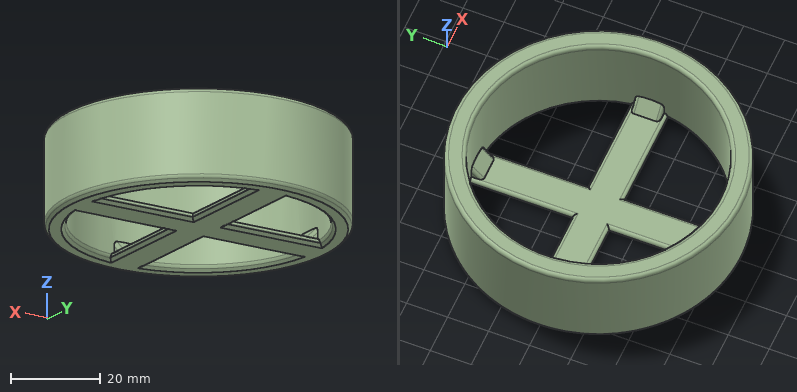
import cadquery as cq

outer_diameter = 69.5
inner_diameter = 59.5
height = 22.0
edge_round = 1.0
bottom_chamfer = 1.1
bottom_blend = 1.2

spoke_width = 8.9
spoke_thickness = 2.0
spoke_round = 0.9
spoke_chamfer = 0.8

stop_width = spoke_width - 2 * spoke_round
stop_reach = 3.05
stop_rise = 3.05
stop_round = 0.8

outer_radius = outer_diameter / 2
inner_radius = inner_diameter / 2
wall_middle = (outer_radius + inner_radius) / 2


def make_ring():
    """Ring with rounded top edges and chamfered bottom edges."""
    ring = cq.Workplane("XY").circle(outer_radius).circle(inner_radius).extrude(height)
    ring = ring.faces(">Z").edges().fillet(edge_round)
    ring = ring.faces("<Z").edges().chamfer(bottom_chamfer)
    chamfer_rim = cq.selectors.BoxSelector(
        (-outer_diameter, -outer_diameter, bottom_chamfer / 2),
        (outer_diameter, outer_diameter, 2 * bottom_chamfer),
        boundingbox=True,
    )
    return ring.edges(chamfer_rim).edges("%CIRCLE").fillet(bottom_blend)


def make_cross():
    """Two crossed bars rounded above and chamfered below, ending inside the ring wall."""
    length = 2 * outer_radius
    bottom_centered = (True, True, False)
    bar_x = cq.Workplane("XY").box(length, spoke_width, spoke_thickness, centered=bottom_centered)
    bar_x = bar_x.faces(">Z").edges("|X").fillet(spoke_round)
    bar_x = bar_x.faces("<Z").edges("|X").chamfer(spoke_chamfer)
    bar_y = bar_x.rotate((0, 0, 0), (0, 0, 1), 90)
    trim = cq.Workplane("XY").circle(wall_middle).extrude(spoke_thickness)
    return bar_x.union(bar_y).intersect(trim)


def make_stop():
    """Wedge on the +X spoke, rising outward and buried in the ring wall."""
    toe = inner_radius - stop_reach
    stop = (
        cq.Workplane("XZ")
        .moveTo(toe, 0)
        .lineTo(toe, spoke_thickness)
        .lineTo(inner_radius, spoke_thickness + stop_rise)
        .lineTo(wall_middle, spoke_thickness + stop_rise)
        .lineTo(wall_middle, 0)
        .close()
        .extrude(stop_width / 2, both=True)
    )
    slope_middle = (toe + stop_reach / 2, 0, spoke_thickness + stop_rise / 2)
    slope = cq.selectors.NearestToPointSelector(slope_middle)
    stop = stop.faces(slope).edges("not |Y").fillet(stop_round)
    cutter = cq.Workplane("XY").box(
        2 * outer_diameter, spoke_width, spoke_thickness, centered=(True, True, False)
    )
    return stop.cut(cutter)


result = make_ring().union(make_cross())
for angle in range(0, 360, 90):
    result = result.union(make_stop().rotate((0, 0, 0), (0, 0, 1), angle))